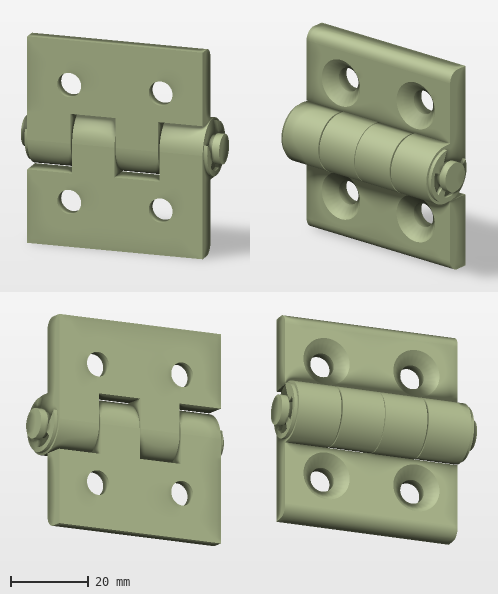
import cadquery as cq
import math

leaf_height = 27.8
half_width = 24.0
knuckle_radius = 8.0
leaf_thickness = 6.2
edge_radius = 3.0
outer_gap = 0.45
middle_gap = 0.2
inner_knuckle_end = 11.75
end_knuckle_start = inner_knuckle_end + outer_gap

hole_diameter = 6.5
hole_x = 12.5
hole_z = 15.75
countersink_depth = 3.15
countersink_angle = 90.0

shaft_radius = 3.55
head_radius = 4.0
pin_half_length = 27.15
clip_play = 0.1

clip_thickness = 1.0
clip_radius = 7.3
window_radius = 5.95
mouth_direction = 58.0
mouth_flare = 9.0
window_start = 99.5
window_end = 167.0


def x_block(x_start, x_end, y_start, y_end, z_start, z_end):
    """Box given by its limits along each axis."""
    size = (x_end - x_start, y_end - y_start, z_end - z_start)
    return cq.Workplane("XY").box(*size, centered=False).translate((x_start, y_start, z_start))


def x_cylinder(radius, x_start, x_end):
    """Cylinder about the hinge axis."""
    return cq.Workplane("YZ", origin=(x_start, 0, 0)).circle(radius).extrude(x_end - x_start)


def make_knuckle(x_start, x_end):
    """Barrel with a square shoulder that joins it to the plate above."""
    shoulder = x_block(x_start, x_end, -knuckle_radius, 0, 0, knuckle_radius)
    return x_cylinder(knuckle_radius, x_start, x_end).union(shoulder)


def make_leaf():
    """Upper leaf: plate with a rounded free edge, two knuckles and two countersunk holes."""
    back_y = leaf_thickness - knuckle_radius
    leaf = x_block(-half_width, half_width, -knuckle_radius, back_y, knuckle_radius, leaf_height)
    leaf = leaf.edges("|X and >Z and >Y").fillet(edge_radius)
    leaf = leaf.union(make_knuckle(-half_width, -end_knuckle_start))
    leaf = leaf.union(make_knuckle(middle_gap / 2, inner_knuckle_end))
    leaf = leaf.cut(x_cylinder(shaft_radius, -half_width, half_width))
    hole_centres = [(-hole_x, hole_z), (hole_x, hole_z)]
    countersink_diameter = hole_diameter + 2 * countersink_depth * math.tan(math.radians(countersink_angle / 2))
    back_face = cq.Workplane("XZ", origin=(0, back_y, 0)).pushPoints(hole_centres)
    bores = back_face.circle(hole_diameter / 2).extrude(leaf_thickness)
    countersinks = back_face.circle(countersink_diameter / 2).extrude(
        countersink_depth, taper=countersink_angle / 2
    )
    return leaf.cut(bores).cut(countersinks)


def make_pin():
    """Shaft with a wider head outside each clip."""
    head_start = half_width + clip_thickness + clip_play
    pin = x_cylinder(shaft_radius, -head_start, head_start)
    for start, end in [(-pin_half_length, -head_start), (head_start, pin_half_length)]:
        pin = pin.union(x_cylinder(head_radius, start, end))
    return pin


def polar(radius, angle):
    """Point at an angle in degrees from the mouth direction, in the clip plane."""
    return (radius * math.cos(math.radians(angle)), radius * math.sin(math.radians(angle)))


def make_window(start, end):
    """Ring sector between two angles, open to the shaft."""
    middle = (start + end) / 2
    return (
        cq.Workplane("XY")
        .moveTo(*polar(shaft_radius, start))
        .lineTo(*polar(window_radius, start))
        .threePointArc(polar(window_radius, middle), polar(window_radius, end))
        .lineTo(*polar(shaft_radius, end))
        .threePointArc(polar(shaft_radius, middle), polar(shaft_radius, start))
        .close()
        .extrude(clip_thickness)
    )


def make_clip():
    """E-clip seated on the shaft against the -X side of the leaves."""
    mouth_half_width = shaft_radius + clip_radius * math.tan(math.radians(mouth_flare))
    mouth = (
        cq.Workplane("XY")
        .polyline([
            (0, -shaft_radius),
            (clip_radius, -mouth_half_width),
            (clip_radius, mouth_half_width),
            (0, shaft_radius),
        ])
        .close()
        .extrude(clip_thickness)
    )
    clip = cq.Workplane("XY").circle(clip_radius).circle(shaft_radius).extrude(clip_thickness)
    clip = clip.cut(mouth)
    clip = clip.cut(make_window(window_start, window_end))
    clip = clip.cut(make_window(-window_end, -window_start))
    clip = clip.rotate((0, 0, 0), (0, 0, 1), mouth_direction)
    clip = clip.rotate((0, 0, 0), (1, 0, 0), 90).rotate((0, 0, 0), (0, 0, 1), -90)
    return clip.translate((-half_width, 0, 0))


upper_leaf = make_leaf()
lower_leaf = make_leaf().rotate((0, 0, 0), (0, 1, 0), 180)
pin = make_pin()

clips = []
for side in (-1, 1):
    clip = make_clip()
    if side > 0:
        clip = clip.mirror("YZ")
    clips.append(clip)

result = cq.Compound.makeCompound([
    upper_leaf.val(),
    lower_leaf.val(),
    pin.val(),
    *[clip.val() for clip in clips],
])